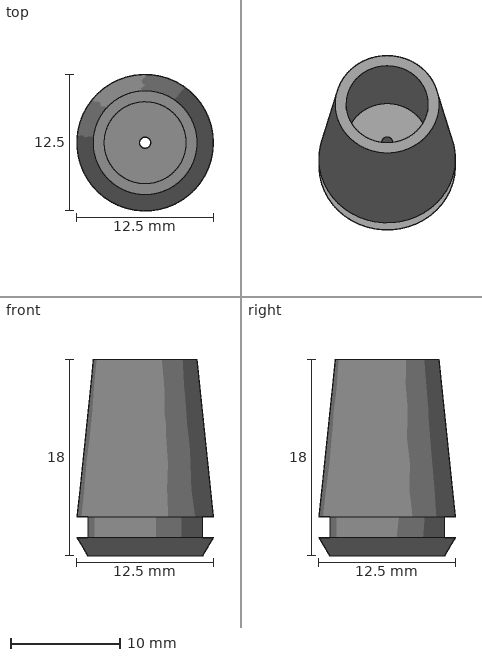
import cadquery as cq

total_height = 18.0
outer_radius = 6.25
top_radius = 4.75
neck_radius = 5.25
flange_height = 1.7
neck_height = 1.9
bore_radius = 3.75
bore_depth = 10.0
pilot_radius = 0.5

flange_top = flange_height
body_base = flange_top + neck_height


def revolved_exterior():
    """Conical foot flange, straight neck and tapered body, turned about Z."""
    half_section = (
        cq.Workplane("XZ")
        .lineTo(neck_radius, 0)
        .lineTo(outer_radius, flange_top)
        .lineTo(neck_radius, flange_top)
        .lineTo(neck_radius, body_base)
        .lineTo(outer_radius, body_base)
        .lineTo(top_radius, total_height)
        .lineTo(0, total_height)
        .close()
    )
    return half_section.revolve(360, (0, 0, 0), (0, 1, 0))


def main_bore():
    """Flat-bottomed bore sunk from the top face."""
    return (
        cq.Workplane("XY")
        .workplane(offset=total_height - bore_depth)
        .circle(bore_radius)
        .extrude(bore_depth)
    )


def pilot_hole():
    """Small hole through the full height on the axis."""
    return cq.Workplane("XY").circle(pilot_radius).extrude(total_height)


result = revolved_exterior().cut(main_bore()).cut(pilot_hole())